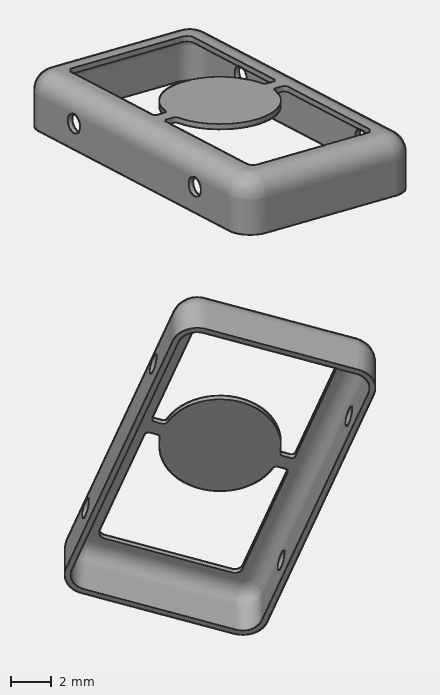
import cadquery as cq

length = 18.3
width = 10.5
height = 3.0
corner_radius = 1.28
top_edge_radius = 1.1

wall = 0.3
cavity_corner_radius = corner_radius - wall
cavity_top_radius = top_edge_radius - wall

window_margin = 1.52
window_length = length - 2 * window_margin
window_width = width - 2 * window_margin
window_corner_radius = 0.4

disc_diameter = 6.0
tab_width = 0.75
tab_fillet = 0.2

hole_diameter = 1.0
hole_spacing = 10.0
hole_height = 1.39


def make_shell():
    """Rounded box, open underneath, hollowed to an even thickness."""
    body = (
        cq.Workplane("XY")
        .rect(length, width)
        .extrude(height)
        .edges("|Z")
        .fillet(corner_radius)
        .faces(">Z")
        .edges()
        .fillet(top_edge_radius)
    )
    cavity = (
        cq.Workplane("XY")
        .rect(length - 2 * wall, width - 2 * wall)
        .extrude(height - wall)
        .edges("|Z")
        .fillet(cavity_corner_radius)
        .faces(">Z")
        .edges()
        .fillet(cavity_top_radius)
    )
    return body.cut(cavity)


def make_window():
    """Cutter for the two openings left around the disc and its tabs."""
    plate = cq.Workplane("XY").workplane(offset=height - wall)
    opening = (
        plate.rect(window_length, window_width)
        .extrude(wall)
        .edges("|Z")
        .fillet(window_corner_radius)
    )
    disc = plate.circle(disc_diameter / 2).extrude(wall)
    tabs = plate.rect(tab_width, window_width).extrude(wall)
    tab_zone = cq.selectors.BoxSelector(
        (-tab_width, -width, 0),
        (tab_width, width, 2 * height),
    )
    return opening.cut(disc.union(tabs)).edges("|Z").edges(tab_zone).fillet(tab_fillet)


def make_cross_holes():
    """Cutters running along Y through both long walls."""
    return (
        cq.Workplane("XZ")
        .pushPoints([(-hole_spacing / 2, hole_height), (hole_spacing / 2, hole_height)])
        .circle(hole_diameter / 2)
        .extrude(width, both=True)
    )


result = make_shell().cut(make_window()).cut(make_cross_holes())